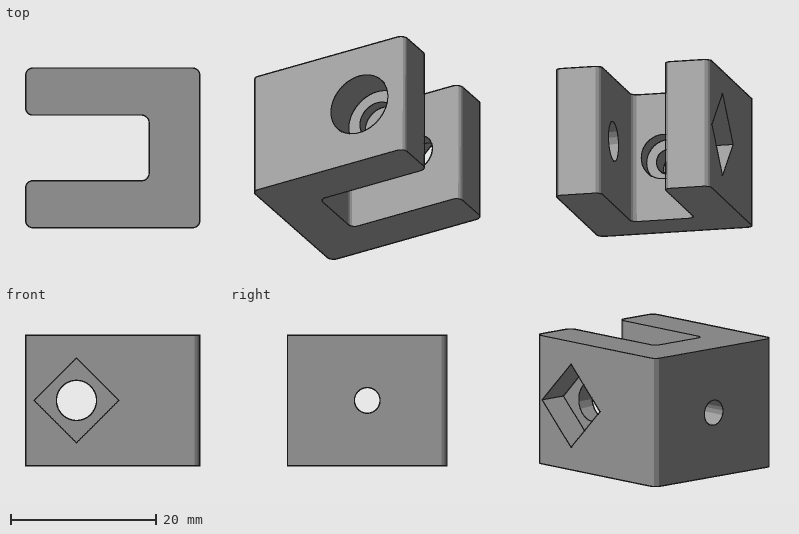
import cadquery as cq

length = 24.0
width = 22.0
height = 18.0
corner_radius = 1.0

slot_width = 9.0
slot_depth = 17.0

bolt_x = 7.0
bolt_diameter = 5.5
nut_side = 8.25
nut_depth = 4.0
nut_tilt = 45
bolt_head_diameter = 9.0
bolt_head_depth = 5.0

screw_diameter = 3.5
screw_head_diameter = 6.3
screw_head_depth = 3.0

mid_z = height / 2
overcut = 0.25


def make_clevis():
    """U-shaped block with every vertical edge rounded."""
    block = cq.Workplane("XY").box(length, width, height, centered=(False, True, False))
    slot = cq.Workplane("XY").box(slot_depth, slot_width, height, centered=(False, True, False))
    return block.cut(slot).edges("|Z").fillet(corner_radius)


def cylinder_along_x(diameter, start_x, end_x):
    plane = cq.Workplane("YZ", origin=(start_x, 0, mid_z))
    return plane.circle(diameter / 2).extrude(end_x - start_x)


def make_bolt_hole():
    plane = cq.Workplane("XZ", origin=(bolt_x, 0, mid_z))
    return plane.circle(bolt_diameter / 2).extrude(width / 2 + overcut, both=True)


def make_nut_pocket():
    """Square pocket standing on its corner, sunk from the -Y face."""
    nut_seat_y = nut_depth - width / 2
    plane = cq.Workplane("XZ", origin=(bolt_x, nut_seat_y, mid_z))
    return plane.transformed(rotate=(0, 0, nut_tilt)).rect(nut_side, nut_side).extrude(nut_depth + overcut)


def make_bolt_head_recess():
    """Round recess sunk from the +Y face."""
    plane = cq.Workplane("XZ", origin=(bolt_x, width / 2 + overcut, mid_z))
    return plane.circle(bolt_head_diameter / 2).extrude(bolt_head_depth + overcut)


screw_hole = cylinder_along_x(screw_diameter, slot_depth - overcut, length + overcut)
screw_head = cylinder_along_x(screw_head_diameter, slot_depth - overcut, slot_depth + screw_head_depth)

result = (
    make_clevis()
    .cut(make_bolt_hole())
    .cut(make_nut_pocket())
    .cut(make_bolt_head_recess())
    .cut(screw_hole)
    .cut(screw_head)
)